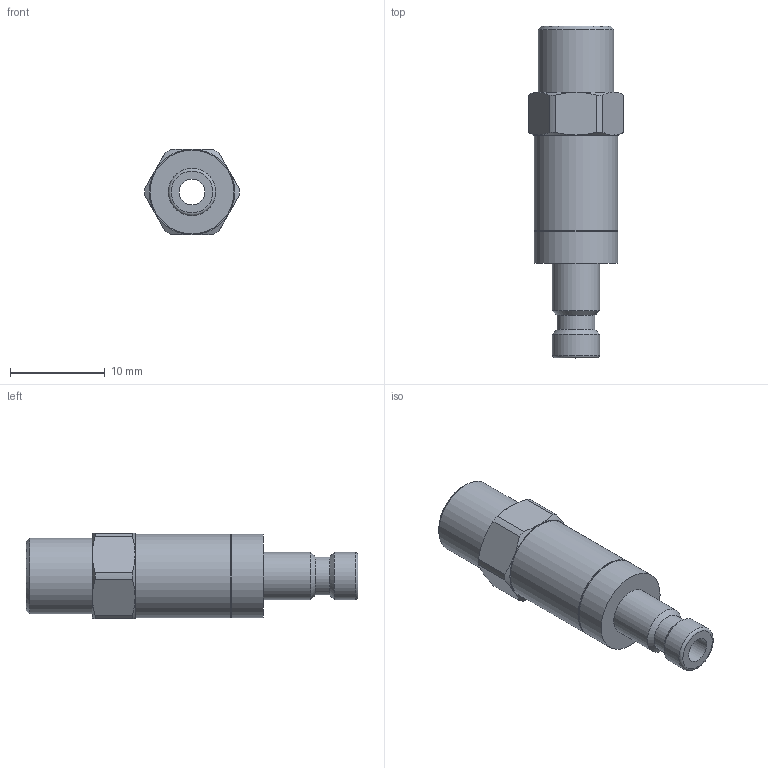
import cadquery as cq
import math

TOTAL_LENGTH = 35.0
NECK_START = 2.5
NECK_END = 5.0
BODY_START = 10.0
SEAM_START = 13.3
SEAM_WIDTH = 0.15
HEX_START = 23.5
HEX_END = 28.0

SPIGOT_DIAMETER = 5.0
NECK_DIAMETER = 4.0
BODY_DIAMETER = 8.8
REAR_DIAMETER = 8.0
BORE_DIAMETER = 2.7

TIP_FILLET = 0.3
SEAM_DEPTH = 0.1
REAR_CHAMFER = 0.4

HEX_SIDES = 6
HEX_ACROSS_FLATS = 9.0
HEX_CORNER_DIAMETER = 10.0
HEX_CHAMFER_ANGLE = 30.0


def cylinder(diameter, start, end):
    """Cylinder on the Y axis between two stations."""
    disc = cq.Workplane("XZ", origin=(0, start, 0)).circle(diameter / 2)
    return disc.extrude(start - end)


def revolve_about_axis(points):
    """Solid of revolution about Y from a closed (radius, station) outline."""
    return cq.Workplane("XY").polyline(points).close().revolve(360, (0, 0, 0), (0, 1, 0))


def make_spigot():
    """Plug-in spigot with a rounded tip and a locking neck with 45 degree shoulders."""
    outer = SPIGOT_DIAMETER / 2
    inner = NECK_DIAMETER / 2
    shoulder = outer - inner
    neck = revolve_about_axis([
        (outer, NECK_START),
        (inner, NECK_START + shoulder),
        (inner, NECK_END - shoulder),
        (outer, NECK_END),
    ])
    spigot = cylinder(SPIGOT_DIAMETER, 0, BODY_START)
    return spigot.faces("<Y").edges().fillet(TIP_FILLET).cut(neck)


def make_body():
    """Round body with a narrow seam groove behind its front collar."""
    seam_end = SEAM_START + SEAM_WIDTH
    seam_core = cylinder(BODY_DIAMETER - 2 * SEAM_DEPTH, SEAM_START, seam_end)
    seam = cylinder(BODY_DIAMETER, SEAM_START, seam_end).cut(seam_core)
    return cylinder(BODY_DIAMETER, BODY_START, HEX_START).cut(seam)


def make_hexagon():
    """Wrench hexagon with flats facing +Z and -Z, turned corners and chamfered ends."""
    sharp_corner_diameter = HEX_ACROSS_FLATS / math.cos(math.pi / HEX_SIDES)
    prism = (
        cq.Workplane("XZ", origin=(0, HEX_START, 0))
        .polygon(HEX_SIDES, sharp_corner_diameter)
        .extrude(HEX_START - HEX_END)
    )
    face_radius = HEX_ACROSS_FLATS / 2
    corner_radius = HEX_CORNER_DIAMETER / 2
    chamfer_length = (corner_radius - face_radius) * math.tan(math.radians(HEX_CHAMFER_ANGLE))
    turned_blank = revolve_about_axis([
        (0, HEX_START),
        (face_radius, HEX_START),
        (corner_radius, HEX_START + chamfer_length),
        (corner_radius, HEX_END - chamfer_length),
        (face_radius, HEX_END),
        (0, HEX_END),
    ])
    return prism.intersect(turned_blank)


def make_rear():
    """Cylindrical rear end with a chamfered rim."""
    rear = cylinder(REAR_DIAMETER, HEX_END, TOTAL_LENGTH)
    return rear.faces(">Y").edges().chamfer(REAR_CHAMFER)


bore = cylinder(BORE_DIAMETER, 0, TOTAL_LENGTH)
fitting = make_spigot().union(make_body()).union(make_hexagon()).union(make_rear()).cut(bore)

result = fitting.translate((0, -TOTAL_LENGTH / 2, 0))